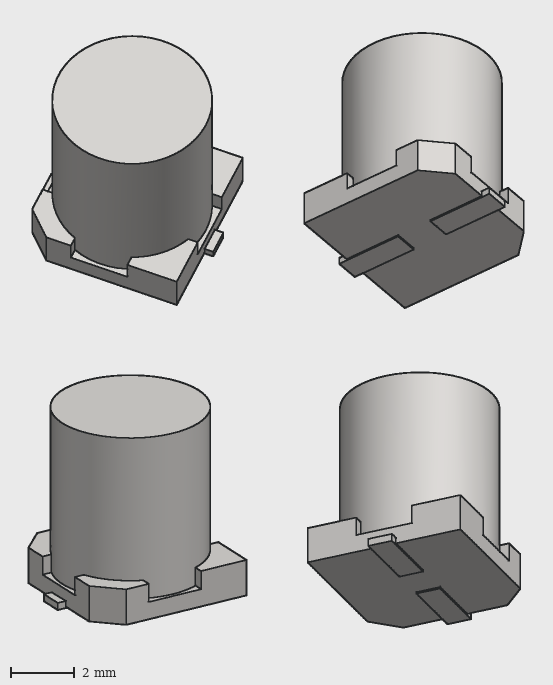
import cadquery as cq

total_height = 6.15
lead_span = 5.89

base_side = 5.31
base_bottom = 0.05
base_top = 1.265
corner_chamfer = 0.85
notch_width = 1.93
seat_level = 0.645

can_diameter = 5.035

lead_width = 0.825
lead_height = 0.245
lead_gap = 1.265
lead_length = (lead_span - lead_gap) / 2


def make_lead(side):
    """Rectangular lead lying along X; side is -1 or +1."""
    center_x = side * (lead_gap + lead_length) / 2
    return (
        cq.Workplane("XY")
        .center(center_x, 0)
        .rect(lead_length, lead_width)
        .extrude(lead_height)
    )


def make_can():
    """Plain cylinder standing on the seat of the base."""
    return (
        cq.Workplane("XY", origin=(0, 0, seat_level))
        .circle(can_diameter / 2)
        .extrude(total_height - seat_level)
    )


def make_base(can, leads):
    """Square base with two cut corners, side notches, a can seat and lead slots."""
    base = (
        cq.Workplane("XY", origin=(0, 0, base_bottom))
        .rect(base_side, base_side)
        .extrude(base_top - base_bottom)
        .edges("|Z and <X")
        .chamfer(corner_chamfer)
    )
    notch_plane = cq.Workplane("XY", origin=(0, 0, seat_level))
    notch_depth = base_top - seat_level
    base = base.cut(notch_plane.rect(base_side, notch_width).extrude(notch_depth))
    base = base.cut(notch_plane.rect(notch_width, base_side).extrude(notch_depth))
    base = base.cut(can)
    for lead in leads:
        base = base.cut(lead)
    return base


leads = [make_lead(side) for side in (-1, 1)]
can = make_can()
base = make_base(can, leads)

result = cq.Compound.makeCompound([base.val(), can.val(), *[lead.val() for lead in leads]])